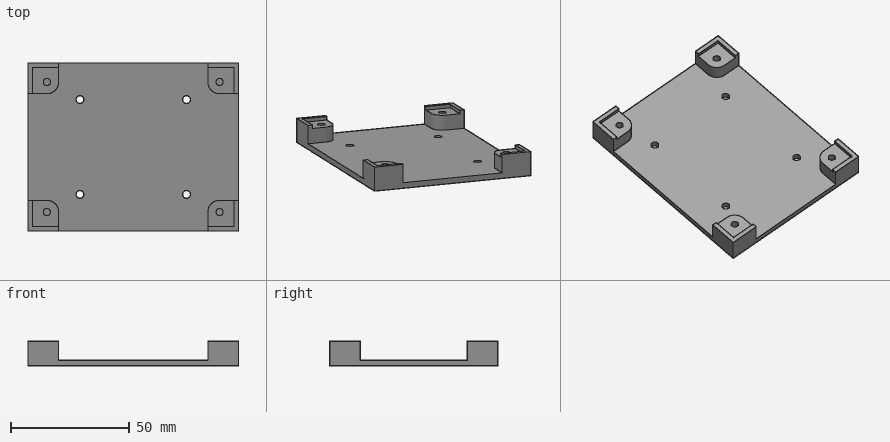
import cadquery as cq

length = 89.0
width = 71.0
plate_thickness = 2.5
total_height = 10.5

post_size = 13.0
post_corner_radius = 5.0
lip_thickness = 2.0
seat_depth = 1.5
post_hole_inset = 8.0
post_hole_diameter = 3.0

plate_hole_diameter = 3.2
plate_hole_spacing_x = 45.0
plate_hole_spacing_y = 40.05

post_height = total_height - plate_thickness
seat_height = total_height - seat_depth


def corner_post():
    """Post at the -X, -Y corner of the plate, with its seat and blind hole."""
    corner_x = -length / 2
    corner_y = -width / 2
    post = (
        cq.Workplane("XY", origin=(corner_x, corner_y, plate_thickness))
        .box(post_size, post_size, post_height, centered=False)
        .edges("|Z and >X and >Y")
        .fillet(post_corner_radius)
    )
    seat = cq.Workplane(
        "XY", origin=(corner_x + lip_thickness, corner_y + lip_thickness, seat_height)
    ).box(post_size, post_size, seat_depth, centered=False)
    hole = (
        cq.Workplane("XY", origin=(corner_x, corner_y, plate_thickness))
        .center(post_hole_inset, post_hole_inset)
        .circle(post_hole_diameter / 2)
        .extrude(post_height)
    )
    return post.cut(seat).cut(hole)


plate = (
    cq.Workplane("XY")
    .box(length, width, plate_thickness, centered=(True, True, False))
    .faces(">Z")
    .workplane()
    .rarray(plate_hole_spacing_x, plate_hole_spacing_y, 2, 2)
    .hole(plate_hole_diameter)
)

left_front_post = corner_post()
left_posts = left_front_post.union(left_front_post.mirror("XZ"))
posts = left_posts.union(left_posts.mirror("YZ"))

result = plate.union(posts)